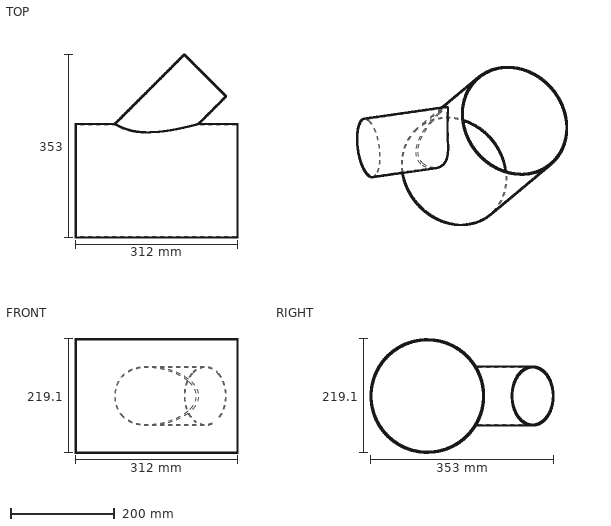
import cadquery as cq
import math

WALL = 2.0
RUN_DIAMETER = 219.1
RUN_LENGTH = 312.0
BRANCH_DIAMETER = 114.3
BRANCH_ANGLE = 45.0
BRANCH_REACH = 203.0
BRANCH_ORIGIN_X = -109.3

run_bore = RUN_DIAMETER - 2 * WALL
branch_bore = BRANCH_DIAMETER - 2 * WALL
angle = math.radians(BRANCH_ANGLE)
branch_length = BRANCH_REACH / math.sin(angle)


def run_cylinder(diameter):
    """Cylinder along X, centred on the origin."""
    return cq.Workplane("YZ").circle(diameter / 2).extrude(RUN_LENGTH / 2, both=True)


def branch_cylinder(diameter):
    """Cylinder from the crossing of the two axes out to the branch mouth."""
    branch_plane = cq.Plane(
        origin=(BRANCH_ORIGIN_X, 0, 0),
        xDir=(0, 0, 1),
        normal=(math.cos(angle), math.sin(angle), 0),
    )
    return cq.Workplane(branch_plane).circle(diameter / 2).extrude(branch_length)


outer_body = run_cylinder(RUN_DIAMETER).union(branch_cylinder(BRANCH_DIAMETER))
result = outer_body.cut(run_cylinder(run_bore)).cut(branch_cylinder(branch_bore))